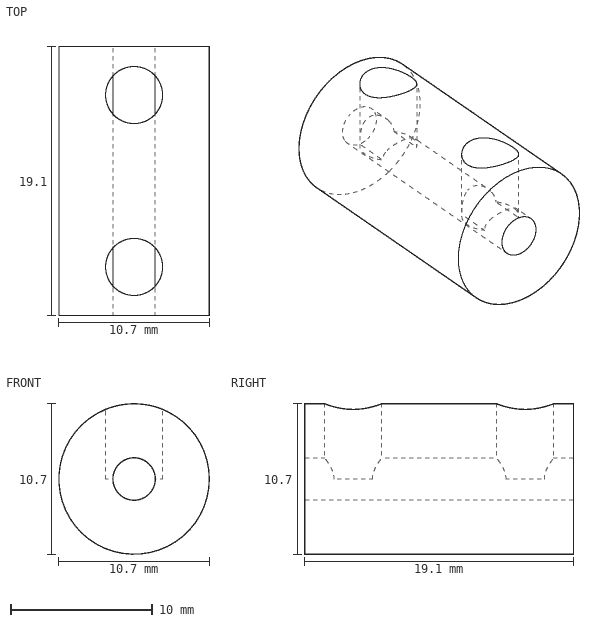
import cadquery as cq

length = 19.05
outer_diameter = 10.67
bore_diameter = 3.0
screw_hole_diameter = 4.04
screw_hole_spacing = 12.17

outer_radius = outer_diameter / 2


def make_sleeve():
    """Round sleeve along Y, centred on the origin, with a through bore."""
    return (
        cq.Workplane("XZ")
        .circle(outer_radius)
        .circle(bore_diameter / 2)
        .extrude(length / 2, both=True)
    )


def make_screw_holes():
    """Two flat-bottomed radial holes from the sleeve axis out through the top."""
    return (
        cq.Workplane("XY")
        .pushPoints([(0, side * screw_hole_spacing / 2) for side in (-1, 1)])
        .circle(screw_hole_diameter / 2)
        .extrude(outer_radius)
    )


result = make_sleeve().cut(make_screw_holes())